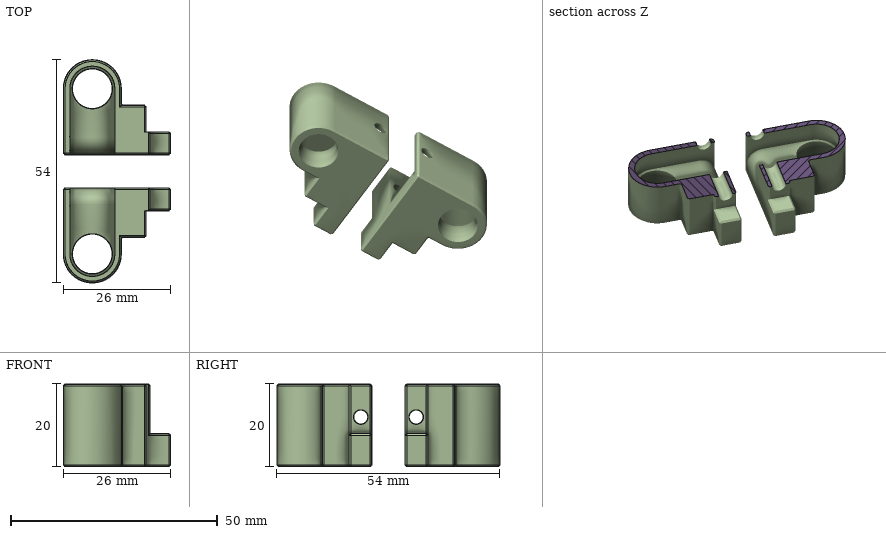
import cadquery as cq

overall_length = 54.0
gap = 8.0
height = 20.0
bracket_length = (overall_length - gap) / 2

shell_width = 14.05
wall = 1.55
shell_radius = shell_width / 2
round_center_y = bracket_length - shell_radius

floor_height = 7.0
lip_radius = 4.0

block_reach = 20.05
block_length = 12.0
step_reach = 21.0
arm_reach = 26.0
arm_width = 5.55
arm_height = 8.0

floor_hole_diameter = 9.6
cross_hole_diameter = 3.4
cross_hole_y = 2.7
cross_hole_z = 12.0

edge_chamfer = 0.45
root_chamfer = 0.3
tolerance = 0.005


def near(a, b):
    return abs(a - b) < tolerance


def round_ended(left, right, base_z, top_z):
    """Prism open at y = 0 and closed by a half circle about the round center."""
    radius = (right - left) / 2
    return (
        cq.Workplane("XY", origin=(0, 0, base_z))
        .moveTo(left, 0)
        .lineTo(left, round_center_y)
        .threePointArc((left + radius, round_center_y + radius), (right, round_center_y))
        .lineTo(right, 0)
        .close()
        .extrude(top_z - base_z)
    )


def side_box(x_reach, y_reach, z_reach):
    """Box from the middle of the shell out to x_reach, with a corner on y = 0 and z = 0."""
    x_size = x_reach - shell_radius
    return cq.Workplane("XY", origin=(shell_radius, 0, 0)).box(x_size, y_reach, z_reach, centered=False)


def is_sharp(edge):
    """True for the edges of the step left square: its two inner corners and its top side."""
    center = edge.Center()
    on_step_side = near(center.y, arm_width) and block_reach - tolerance < center.x < step_reach - tolerance
    is_block_corner = near(center.x, block_reach)
    is_top = near(center.z, height)
    is_arm_corner = near(center.x, step_reach) and near(center.z, arm_height)
    return is_arm_corner or (on_step_side and (is_block_corner or is_top))


def is_block_root(edge):
    """True for the vertical inner corner between the shell and the block."""
    center = edge.Center()
    return near(center.x, shell_width) and near(center.y, block_length) and near(center.z, height / 2)


def is_seam(edge):
    """True for the vertical lines where the flat sides run smoothly into the round end."""
    center = edge.Center()
    return near(center.y, round_center_y) and near(center.z, height / 2)


def outer_body():
    shell = round_ended(0, shell_width, 0, height)
    block = side_box(block_reach, block_length, height)
    step = side_box(step_reach, arm_width, height)
    arm = side_box(arm_reach, arm_width, arm_height)
    body = shell.union(block).union(step).union(arm).clean()
    kept_edges = (is_sharp, is_seam, is_block_root)
    chamfered_edges = [e for e in body.edges().vals() if not any(kept(e) for kept in kept_edges)]
    body = body.newObject(chamfered_edges).chamfer(edge_chamfer)
    root_edges = [e for e in body.edges().vals() if is_block_root(e)]
    return body.newObject(root_edges).chamfer(root_chamfer)


def cavity():
    left = wall
    right = shell_width - wall
    lip_z = floor_height - lip_radius
    pocket = round_ended(left, right, floor_height, height)
    lip_corner = (
        cq.Workplane("XY", origin=(left, 0, lip_z))
        .box(right - left, lip_radius, lip_radius, centered=False)
    )
    lip_round = cq.Workplane("YZ", origin=(left, lip_radius, lip_z)).circle(lip_radius).extrude(right - left)
    return pocket.union(lip_corner.cut(lip_round))


def floor_hole():
    return (
        cq.Workplane("XY")
        .center(shell_radius, round_center_y)
        .circle(floor_hole_diameter / 2)
        .extrude(height)
    )


def cross_hole():
    return (
        cq.Workplane("YZ")
        .center(cross_hole_y, cross_hole_z)
        .circle(cross_hole_diameter / 2)
        .extrude(arm_reach)
    )


def bracket():
    body = outer_body().cut(cavity()).cut(floor_hole()).cut(cross_hole())
    return body.translate((0, gap / 2, 0))


rear_bracket = bracket()
front_bracket = rear_bracket.mirror("XZ")

result = cq.Compound.makeCompound([rear_bracket.val(), front_bracket.val()])